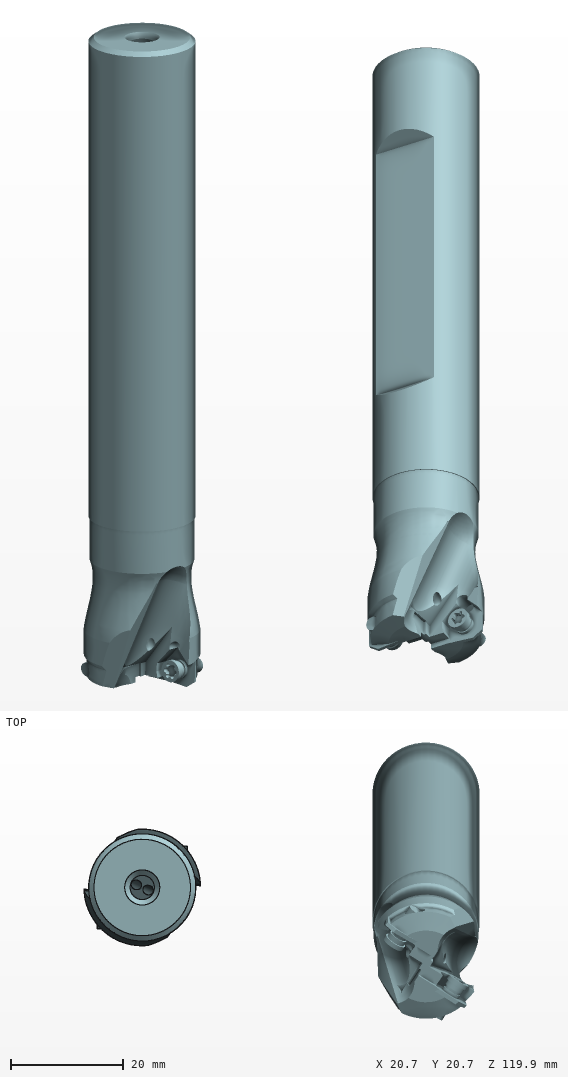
import cadquery as cq
import math


FLUTES = 2
AXIS_START = (0, 0, 0)
AXIS_END = (0, 0, 1)
OVER = 7.2

LENGTH = 119.9
SHANK_R = 19.1 / 2
SHANK_END_Z = 30.8
TOP_CHAMFER_R = 1.0
TOP_CHAMFER_H = 0.7
NECK_R = 9.4
NECK_END_Z = 22.9
WAIST_R = 8.8
WAIST_Z = 19.1
FLANK_R = 9.7
FLANK_Z = 13.3
HEAD_R = 20.7 / 2
HEAD_TOP_Z = 9.8
END_CHAMFER_H = 1.2
END_FACE_R = 8.6
DISH_R = 4.8
DISH_H = 0.4

RELIEF_TOP_Z = 5.2
RELIEF_STEP_Z = 4.3
RELIEF_R = 9.8
RELIEF_END_R = 6.6
RELIEF_HALF_GAP = 3.0

FLAT_Y = 7.4
FLAT_LOW_Z = 48.1
FLAT_HIGH_Z = 102.7

BORE_R = 2.2
BORE_MOUTH_R = 3.1
BORE_END_Z = 12.0
COOLANT_R = 0.8
COOLANT_EXIT = (4.3, -1.9, 5.2)

FLUTE_R = 4.8
FLUTE_DIR = cq.Vector(0.34, 0.2, 1.0)
FLUTE_START = cq.Vector(4.4, -5.8, 0.0)
FLUTE_END_Z = 19.1
FLOOR_ANGLE = 25.0
WALL_CREASE = 2.6

SIDE_FLAT_DIST = 7.7
SIDE_FLAT_TURN = 30.0
SIDE_FLAT_LEAN = 10.0

SEAT_TILT = 5.0
SEAT_X = 6.7
SEAT_Y = 2.5
SEAT_Z = 3.0
SEAT_OUTLINE = [(4.7, -4.2), (-2.5, -4.2), (-3.5, -0.7), (-3.5, 0.7), (0.4, 5.0), (4.7, 0.7)]
SEAT_CORNER = (0.4, 4.2)
SEAT_CORNER_R = 1.2
SEAT_CORNER_DEPTH = 1.0
LAND_HEIGHT = 2.4
LAND_OUTLINE = [
    (4.7, -4.2), (-6.0, -4.2), (-6.0, 0.5), (-0.1, 8.5), (0.4, 6.8), (1.2, 6.0), (4.7, 6.0),
]

RECESS_X = 0.2
RECESS_WIDTH = 3.8
RECESS_TOP_Z = 4.0
RECESS_FRONT_Y = -5.2
RECESS_BACK_Y = -1.2

SLOT_HALF_LENGTH = 4.5
SLOT_HALF_WIDTH = 2.2
SLOT_TOP_Z = 1.3

THREAD_R = 1.3
THREAD_LENGTH = 4.8
SCREW_NECK_R = 1.7
GROOVE_R = 1.4
GROOVE_LOW = 0.6
GROOVE_HIGH = 1.1
SCREW_HEAD_R = 4.0 / 2
SCREW_HEAD_H = 0.8
SCREW_TOP = 2.9
SOCKET_R = 1.1
SOCKET_LOBE_R = 0.4
SOCKET_DEPTH = 1.0
LOBES = 6


def at_each_flute(tool):
    """The same +X side tool at every flute position."""
    return [tool.rotate(AXIS_START, AXIS_END, i * 360 / FLUTES) for i in range(FLUTES)]


def seat_plane():
    """Seat floor: local x is +X, local y points up the tool, the normal leaves the floor."""
    tilt = math.radians(SEAT_TILT)
    return cq.Plane(
        origin=(SEAT_X, SEAT_Y, SEAT_Z), xDir=(1, 0, 0), normal=(0, -math.cos(tilt), math.sin(tilt))
    )


def turned_body():
    return (
        cq.Workplane("XZ")
        .moveTo(0, DISH_H)
        .lineTo(DISH_R, DISH_H)
        .lineTo(END_FACE_R, 0)
        .lineTo(HEAD_R, END_CHAMFER_H)
        .lineTo(HEAD_R, HEAD_TOP_Z)
        .spline([(FLANK_R, FLANK_Z), (WAIST_R, WAIST_Z), (NECK_R, NECK_END_Z)], includeCurrent=True)
        .lineTo(NECK_R, SHANK_END_Z)
        .lineTo(SHANK_R, SHANK_END_Z)
        .lineTo(SHANK_R, LENGTH - TOP_CHAMFER_H)
        .lineTo(SHANK_R - TOP_CHAMFER_R, LENGTH)
        .lineTo(0, LENGTH)
        .close()
        .revolve(360, (0, 0), (0, 1))
    )


def head_relief():
    """Ring that undercuts the lower head, left out in a band along X."""
    outer = HEAD_R + OVER
    ring = (
        cq.Workplane("XZ")
        .polyline([
            (0, 0), (0, DISH_H), (RELIEF_END_R, DISH_H), (RELIEF_R, END_CHAMFER_H),
            (RELIEF_R, RELIEF_STEP_Z), (HEAD_R, RELIEF_TOP_Z), (outer, RELIEF_TOP_Z), (outer, 0),
        ])
        .close()
        .revolve(360, (0, 0), (0, 1))
    )
    band = cq.Workplane("XY").box(2 * outer + OVER, 2 * RELIEF_HALF_GAP, 2 * OVER)
    return ring.cut(band)


def clamping_flat():
    """Long flat with 45 degree ends."""
    end_z = SHANK_R - FLAT_Y
    return (
        cq.Workplane("YZ")
        .polyline([
            (FLAT_Y, FLAT_LOW_Z + end_z),
            (FLAT_Y + OVER, FLAT_LOW_Z + end_z - OVER),
            (FLAT_Y + OVER, FLAT_HIGH_Z - end_z + OVER),
            (FLAT_Y, FLAT_HIGH_Z - end_z),
        ])
        .close()
        .extrude(2 * SHANK_R, both=True)
    )


def coolant_bore():
    mouth_depth = BORE_MOUTH_R - BORE_R
    return (
        cq.Workplane("XZ")
        .polyline([
            (0, BORE_END_Z), (BORE_R, BORE_END_Z), (BORE_R, LENGTH - mouth_depth),
            (BORE_MOUTH_R, LENGTH), (0, LENGTH),
        ])
        .close()
        .revolve(360, (0, 0), (0, 1))
    )


def coolant_branch():
    """Hole from the lower end of the bore into the flute."""
    start = cq.Vector(0, 0, BORE_END_Z + BORE_R)
    way = cq.Vector(*COOLANT_EXIT) - start
    return cq.Workplane(cq.Solid.makeCylinder(COOLANT_R, way.Length, start, way))


def chip_flute():
    """Groove with a flat floor, a round bottom, a flat wall and a ball end."""
    ball_centre = FLUTE_START + FLUTE_DIR * FLUTE_END_Z
    below = FLUTE_START - FLUTE_DIR * OVER
    section = cq.Plane(origin=below.toTuple(), xDir=(1, 0, -FLUTE_DIR.x), normal=FLUTE_DIR.toTuple())
    reach = 3 * FLUTE_R
    floor = math.radians(FLOOR_ANGLE)
    tangent = (FLUTE_R * math.sin(floor), FLUTE_R * math.cos(floor))
    floor_end = (tangent[0] + reach * math.cos(floor), tangent[1] - reach * math.sin(floor))
    crease_x = -math.sqrt(FLUTE_R**2 - WALL_CREASE**2)
    groove = (
        cq.Workplane(section)
        .moveTo(*floor_end)
        .lineTo(*tangent)
        .threePointArc((-FLUTE_R, 0), (crease_x, -WALL_CREASE))
        .lineTo(crease_x, -reach)
        .lineTo(floor_end[0], -reach)
        .close()
        .extrude((ball_centre - below).Length)
    )
    ball = cq.Workplane("XY").sphere(FLUTE_R).translate(ball_centre)
    return groove.union(ball)


def side_flat():
    """Half-space block leaving a flat beside the flute on the -Y side."""
    size = 4 * HEAD_R
    block = cq.Workplane("XY").box(2 * size, size, size).translate((0, -size / 2 - SIDE_FLAT_DIST, 0))
    leaning = block.rotate((0, -SIDE_FLAT_DIST, 0), (1, -SIDE_FLAT_DIST, 0), SIDE_FLAT_LEAN)
    return leaning.rotate(AXIS_START, AXIS_END, SIDE_FLAT_TURN)


def insert_seat():
    floor = cq.Workplane(seat_plane())
    seat = floor.polyline(SEAT_OUTLINE).close().extrude(OVER)
    bottom = floor.workplane(offset=-SEAT_CORNER_DEPTH)
    corner = bottom.center(*SEAT_CORNER).circle(SEAT_CORNER_R).extrude(OVER)
    land = floor.workplane(offset=LAND_HEIGHT).polyline(LAND_OUTLINE).close().extrude(OVER)
    return seat.union(corner).union(land)


def inner_recess():
    return cq.Workplane("XY").box(
        RECESS_WIDTH, RECESS_BACK_Y - RECESS_FRONT_Y, RECESS_TOP_Z, centered=False
    ).translate((RECESS_X, RECESS_FRONT_Y, 0))


def end_slot():
    return cq.Workplane("XY").box(2 * SLOT_HALF_LENGTH, 2 * SLOT_HALF_WIDTH, 2 * SLOT_TOP_Z)


def screw_hole():
    return cq.Workplane(seat_plane()).circle(THREAD_R).extrude(-HEAD_R)


def cutter_body():
    body = turned_body().cut(head_relief()).cut(clamping_flat()).cut(coolant_bore()).cut(end_slot())
    for make_tool in (chip_flute, side_flat, insert_seat, inner_recess, screw_hole, coolant_branch):
        for tool in at_each_flute(make_tool()):
            body = body.cut(tool)
    return body


def clamping_screw():
    """Threaded shank, neck on the seat floor, wider head with a six-lobe socket."""
    floor = cq.Workplane(seat_plane())
    thread = floor.circle(THREAD_R).extrude(-THREAD_LENGTH)
    neck = floor.circle(SCREW_NECK_R).extrude(SCREW_TOP)
    ring = (
        floor.workplane(offset=GROOVE_LOW)
        .circle(SCREW_HEAD_R)
        .circle(GROOVE_R)
        .extrude(GROOVE_HIGH - GROOVE_LOW)
    )
    head = floor.workplane(offset=SCREW_TOP - SCREW_HEAD_H).circle(SCREW_HEAD_R).extrude(SCREW_HEAD_H)
    top = floor.workplane(offset=SCREW_TOP)
    socket = top.circle(SOCKET_R).extrude(-SOCKET_DEPTH)
    lobes = top.polarArray(SOCKET_R, 0, 360, LOBES).circle(SOCKET_LOBE_R).extrude(-SOCKET_DEPTH)
    return thread.union(neck.cut(ring)).union(head).cut(socket).cut(lobes)


body = cutter_body()
screws = at_each_flute(clamping_screw())
result = cq.Compound.makeCompound([*body.solids().vals(), *[screw.val() for screw in screws]])